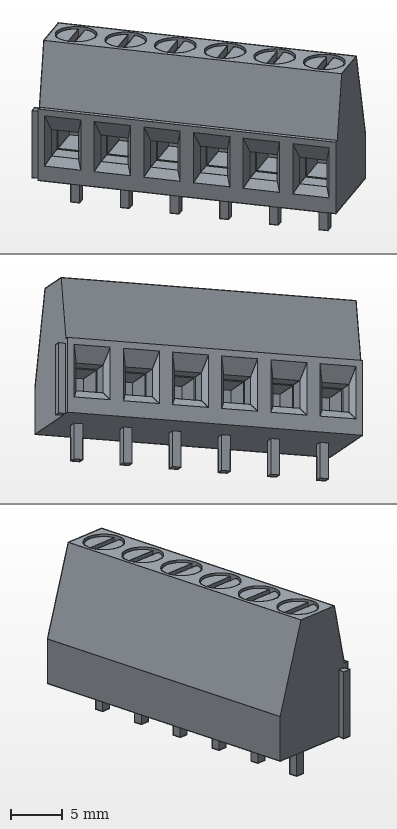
import cadquery as cq


total_length = 30.75
total_depth = 9.8
total_height = 17.3
pin_length = 3.55
housing_height = total_height - pin_length

pole_count = 6

rail_projection = 0.75
rail_height = 6.95
rail_outer_width = 0.95
rail_root_width = 0.65

housing_length = total_length - rail_projection
ledge_width = 0.5
ledge_height = 7.4
top_front_y = 1.95
top_width = 4.85
back_wall_height = 4.65
rail_center_y = ledge_width + rail_outer_width / 2

mouth_width = 3.65
mouth_bottom = 1.57
mouth_top = 6.75
mouth_depth = 0.77
passage_size = 2.75
passage_end_y = 2.6
clamp_size = 2.52
clamp_end_y = 6.33
entry_center_z = 3.75

screw_y = 4.43
screw_hole_diameter = 4.0
screw_diameter = 3.8
screw_sink = 0.2
screw_slot_width = 0.68
screw_slot_depth = 0.8

pin_width = 0.9
pin_thickness = 1.0
pin_y = 4.6
pin_overlap = 0.3

pole_pitch = housing_length / pole_count
pole_positions = [(i + 0.5) * pole_pitch for i in range(pole_count)]


def make_housing():
    """Side profile extruded along the row of poles."""
    profile = [
        (0, 0),
        (total_depth, 0),
        (total_depth, back_wall_height),
        (top_front_y + top_width, housing_height),
        (top_front_y, housing_height),
        (ledge_width, ledge_height),
        (0, ledge_height),
    ]
    return cq.Workplane("YZ").polyline(profile).close().extrude(housing_length)


def make_rail():
    """Dovetail coupling rail standing on the -X end."""
    outline = [
        (0, rail_center_y - rail_root_width / 2),
        (-rail_projection, rail_center_y - rail_outer_width / 2),
        (-rail_projection, rail_center_y + rail_outer_width / 2),
        (0, rail_center_y + rail_root_width / 2),
    ]
    return cq.Workplane("XY").polyline(outline).close().extrude(rail_height)


def square_bore(x, size, end_y):
    """Square bore running from the front face back to end_y."""
    return (
        cq.Workplane("XY")
        .box(size, end_y, size, centered=(True, False, True))
        .translate((x, 0, entry_center_z))
    )


def make_wire_entry(x):
    """Space removed for one wire entry."""
    mouth_center_z = (mouth_bottom + mouth_top) / 2
    mouth = (
        cq.Workplane("XZ")
        .center(x, mouth_center_z)
        .rect(mouth_width, mouth_top - mouth_bottom)
        .workplane(offset=-mouth_depth)
        .center(0, entry_center_z - mouth_center_z)
        .rect(passage_size, passage_size)
        .loft(ruled=True)
    )
    passage = square_bore(x, passage_size, passage_end_y)
    clamp_bore = square_bore(x, clamp_size, clamp_end_y)
    return mouth.union(passage).union(clamp_bore)


def make_screw_clearance(x):
    """Space removed around and in one slotted screw head."""
    hole_depth = screw_sink + screw_slot_depth
    floor_z = housing_height - hole_depth
    base = cq.Workplane("XY", origin=(x, screw_y, floor_z))
    hole = base.circle(screw_hole_diameter / 2).extrude(hole_depth)
    head = base.circle(screw_diameter / 2).extrude(screw_slot_depth)
    slot = base.rect(screw_slot_width, screw_hole_diameter).extrude(screw_slot_depth)
    return hole.cut(head.cut(slot))


def make_pin(x):
    """Rectangular solder pin below the housing."""
    return (
        cq.Workplane("XY", origin=(x, pin_y, -pin_length))
        .rect(pin_width, pin_thickness)
        .extrude(pin_length + pin_overlap)
    )


result = make_housing().union(make_rail())
for pole_x in pole_positions:
    result = result.cut(make_wire_entry(pole_x))
    result = result.cut(make_screw_clearance(pole_x))
    result = result.union(make_pin(pole_x))